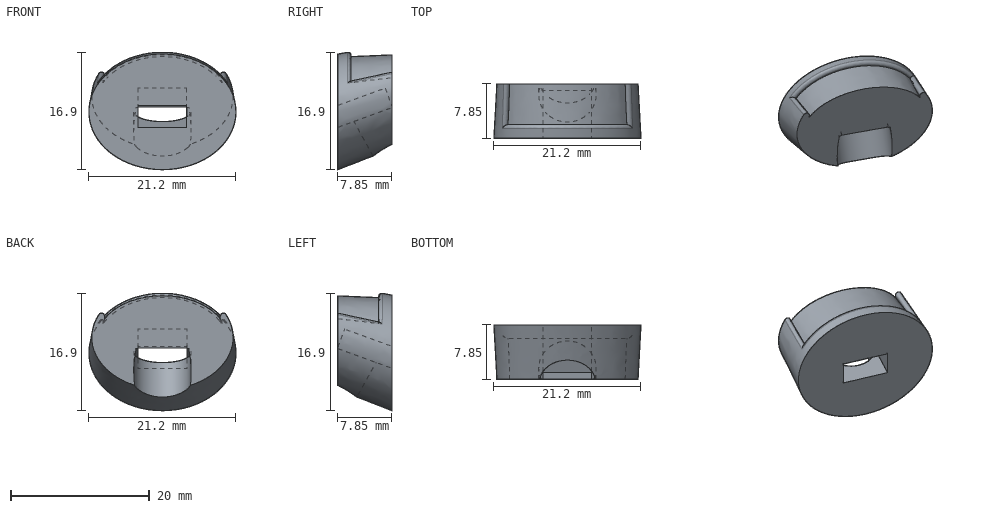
import cadquery as cq
import math

depth = 7.85
front_half_width = 10.6
front_half_height = 8.34
back_half_width = 10.18
back_half_height = 7.53
back_rise = 2.25

rim_width = 1.95
saddle_half_width_rim = 8.5
saddle_half_width_back = 8.31
rim_rounding = 0.47
saddle_cut_floor = 3.18

core_inset_front = 0.6
core_inset_back = 0.9
core_drop_front = 0.45
core_drop_back = 1.55

slot_width = 7.0
slot_floor = -2.23
slot_top = 0.93
slot_floor_length = 8.38
slot_slope = math.radians(20)

bore_radius = 4.14
bore_lean = math.radians(29)
bore_wall_start = 2.33
bore_overshoot = 2.12
bore_length = 16.97


def oval_taper(front_size, back_size):
    """Straight taper between two ovals given as (half width, half height)."""
    return (
        cq.Workplane("XZ")
        .ellipse(*front_size)
        .workplane(offset=-depth)
        .center(0, back_rise)
        .ellipse(*back_size)
        .loft(ruled=True)
    )


def make_rimmed_shell():
    """Full oval body with the saddle area cut away deep and the rim rounded."""
    shell = oval_taper((front_half_width, front_half_height), (back_half_width, back_half_height))
    saddle = (
        cq.Workplane("XY", origin=(0, 0, saddle_cut_floor))
        .polyline([
            (-saddle_half_width_rim, rim_width),
            (saddle_half_width_rim, rim_width),
            (saddle_half_width_back, depth),
            (-saddle_half_width_back, depth),
        ])
        .close()
        .extrude(front_half_height)
    )
    rim_box = cq.selectors.BoxSelector(
        (-front_half_width, rim_width - rim_rounding, saddle_cut_floor + rim_rounding),
        (front_half_width, depth - rim_rounding, 2 * front_half_height),
    )
    rim_edges = shell.cut(saddle).edges(rim_box).edges("not #Z").edges("not |Z")
    return rim_edges.fillet(rim_rounding)


def make_core():
    """Inner oval taper that fills the cut back up to the saddle floor."""
    return oval_taper(
        (front_half_width - core_inset_front, front_half_height - core_drop_front),
        (back_half_width - core_inset_back, back_half_height - core_drop_back),
    )


def make_slot():
    """Rectangular slot rising from the front face to a square blind end."""
    run = math.cos(slot_slope)
    rise = math.sin(slot_slope)
    slot_height = (slot_top - slot_floor) * run
    floor_end = (slot_floor_length * run, slot_floor + slot_floor_length * rise)
    ceiling_end = (floor_end[0] - slot_height * rise, floor_end[1] + slot_height * run)
    return (
        cq.Workplane("YZ")
        .polyline([(0, slot_floor), floor_end, ceiling_end, (0, slot_top)])
        .close()
        .extrude(slot_width / 2, both=True)
    )


def make_bore():
    """Leaning round hole, from below the body up to the plane of the slot floor."""
    axis = cq.Vector(0, math.sin(bore_lean), -math.cos(bore_lean))
    across = cq.Vector(0, math.cos(bore_lean), math.sin(bore_lean))
    wall_top = cq.Vector(0, bore_wall_start, slot_floor + bore_wall_start * math.tan(slot_slope))
    start = wall_top + across * bore_radius - axis * bore_overshoot
    cylinder = cq.Workplane(cq.Solid.makeCylinder(bore_radius, bore_length, start, axis))
    above_floor = (
        cq.Workplane("XY")
        .box(2 * front_half_width, 4 * depth, depth, centered=(True, True, False))
        .rotate((0, 0, 0), (1, 0, 0), math.degrees(slot_slope))
        .translate((0, 0, slot_floor))
    )
    return cylinder.cut(above_floor)


body = make_rimmed_shell().union(make_core())
result = body.cut(make_slot()).cut(make_bore())